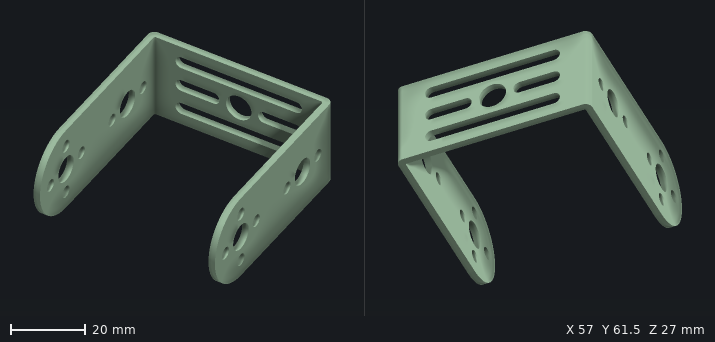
import cadquery as cq

width = 57.0
length = 61.5
height = 27.0
thickness = 2.0

outer_bend_radius = thickness
inner_bend_radius = 0.5

hole_pitch = 8.0
center_hole_diameter = 8.0
screw_hole_diameter = 3.7
hub_spacing = 32.0

slot_width = 3.75
slot_span = 39.7
short_slot_length = 13.8

arm_end_radius = height / 2
front_hub_y = arm_end_radius - length
rear_hub_y = front_hub_y + hub_spacing


def make_channel():
    """U-shaped strip with rounded bends, centered on X and Z."""
    outer = (
        cq.Workplane("XY")
        .box(width, length, height)
        .translate((0, -length / 2, 0))
        .edges("|Z and >Y")
        .fillet(outer_bend_radius)
    )
    inner = (
        cq.Workplane("XY")
        .box(width - 2 * thickness, length, height)
        .translate((0, -length / 2 - thickness, 0))
        .edges("|Z and >Y")
        .fillet(inner_bend_radius)
    )
    return outer.cut(inner)


def make_arm_envelope():
    """Side outline with a semicircular arm end, extruded across the width."""
    return (
        cq.Workplane("YZ")
        .moveTo(0, -height / 2)
        .lineTo(0, height / 2)
        .lineTo(front_hub_y, height / 2)
        .threePointArc((-length, 0), (front_hub_y, -height / 2))
        .close()
        .extrude(width / 2, both=True)
    )


def cross_holes(points, diameter):
    """Cylinders along X that pass through both arms at (Y, Z) points."""
    return cq.Workplane("YZ").pushPoints(points).circle(diameter / 2).extrude(width, both=True)


def back_slots(points, slot_length):
    """Slot cutters through the back plate at (X, Z) points."""
    return (
        cq.Workplane("XZ")
        .pushPoints(points)
        .slot2D(slot_length, slot_width)
        .extrude(2 * thickness, both=True)
    )


result = make_channel().intersect(make_arm_envelope())

hub_points = [(front_hub_y, 0), (rear_hub_y, 0)]
screw_points = [(y + side * hole_pitch, z) for y, z in hub_points for side in (-1, 1)]
screw_points += [(front_hub_y, side * hole_pitch) for side in (-1, 1)]
result = result.cut(cross_holes(hub_points, center_hole_diameter))
result = result.cut(cross_holes(screw_points, screw_hole_diameter))

short_slot_x = (slot_span - short_slot_length) / 2
center_hole = cq.Workplane("XZ").circle(center_hole_diameter / 2).extrude(2 * thickness, both=True)
result = result.cut(back_slots([(0, -hole_pitch), (0, hole_pitch)], slot_span))
result = result.cut(back_slots([(-short_slot_x, 0), (short_slot_x, 0)], short_slot_length))
result = result.cut(center_hole)